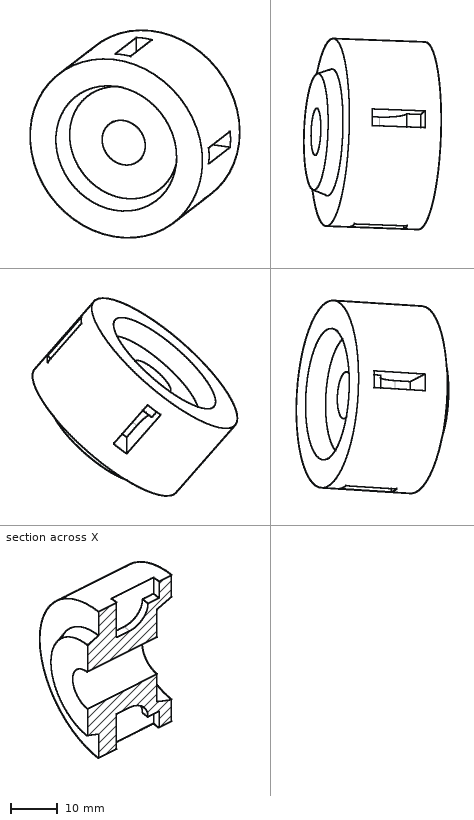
import cadquery as cq
import math

body_diameter = 40.0
body_length = 20.0
bore_diameter = 10.0

taper_angle = 20.0
boss_height = 3.0
boss_root_diameter = 27.0
recess_depth = 4.0
recess_mouth_diameter = 28.0

slot_count = 4
slot_width = 3.6
slot_start = 3.5
slot_end = 15.0
shallow_floor_length = 3.0
deep_floor_distance = 21.0 / 2
ramp_radius = 5.0

full_length = body_length + boss_height
taper_slope = math.tan(math.radians(taper_angle))
boss_tip_diameter = boss_root_diameter - 2 * boss_height * taper_slope
recess_floor_diameter = recess_mouth_diameter - 2 * recess_depth * taper_slope
shallow_floor_distance = deep_floor_distance + ramp_radius


def turned_body():
    """Body, tapered boss, tapered recess and bore as one profile turned about Y."""
    return (
        cq.Workplane("XY")
        .moveTo(bore_diameter / 2, recess_depth)
        .lineTo(recess_floor_diameter / 2, recess_depth)
        .lineTo(recess_mouth_diameter / 2, 0)
        .lineTo(body_diameter / 2, 0)
        .lineTo(body_diameter / 2, body_length)
        .lineTo(boss_root_diameter / 2, body_length)
        .lineTo(boss_tip_diameter / 2, full_length)
        .lineTo(bore_diameter / 2, full_length)
        .close()
        .revolve(360, (0, 0, 0), (0, 1, 0))
    )


def rim_slot():
    """Cutter for the slot at +Z: a shallow floor that curves down to a deep one."""
    ramp_start = slot_start + shallow_floor_length
    ramp_end = ramp_start + ramp_radius
    cutter_top = body_diameter
    return (
        cq.Workplane("YZ")
        .moveTo(slot_start, cutter_top)
        .lineTo(slot_start, shallow_floor_distance)
        .lineTo(ramp_start, shallow_floor_distance)
        .radiusArc((ramp_end, deep_floor_distance), -ramp_radius)
        .lineTo(slot_end, deep_floor_distance)
        .lineTo(slot_end, cutter_top)
        .close()
        .extrude(slot_width / 2, both=True)
    )


result = turned_body()
for index in range(slot_count):
    turn = index * 360 / slot_count
    result = result.cut(rim_slot().rotate((0, 0, 0), (0, 1, 0), turn))